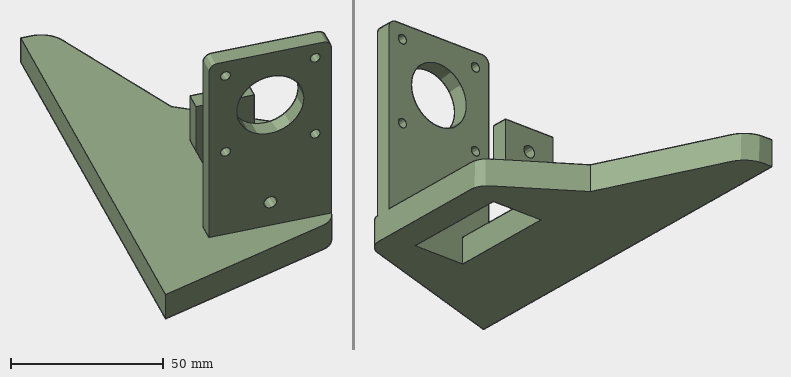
import cadquery as cq

base_length = 148.5
base_depth = 66.0
base_thickness = 10.0
nose_height = 10.0
shoulder_x = 51.4
shoulder_y = 34.8
back_left_x = 71.3
back_right_x = 127.5
nose_radius = 10.0
back_radius = 7.0

total_height = 80.4
motor_plate_x = 117.3
motor_plate_thickness = 6.1
motor_plate_width = 42.5
motor_plate_corner_radius = 3.0
motor_axis_y = base_depth - motor_plate_width / 2
motor_axis_z = 59.1
motor_bore_diameter = 23.2
screw_spacing = 31.0
screw_diameter = 3.4

tab_x = 70.8
tab_thickness = 6.2
tab_width = 20.2
tab_top = 28.0
rod_axis_z = 19.3
rod_diameter = 4.5
window_front_y = motor_axis_y - tab_width / 2


def make_footprint(height):
    """Rounded base outline extruded upward from Z = 0."""
    plate = (
        cq.Workplane("XY")
        .moveTo(0, 0)
        .lineTo(base_length, 0)
        .lineTo(back_right_x, base_depth)
        .lineTo(back_left_x, base_depth)
        .lineTo(shoulder_x, shoulder_y)
        .lineTo(0, nose_height)
        .close()
        .extrude(height)
    )
    plate = plate.edges("|Z").edges(">Y").fillet(back_radius)
    nose_corner = cq.selectors.NearestToPointSelector((0, nose_height, height / 2))
    return plate.edges(nose_corner).fillet(nose_radius)


def make_window():
    """Opening through the base from the tab's inner face to the motor plate."""
    start_x = tab_x + tab_thickness
    window_length = motor_plate_x - start_x
    return cq.Workplane("XY").box(
        window_length, tab_width, base_thickness, centered=False
    ).translate((start_x, window_front_y, 0))


def make_motor_plate():
    plate = cq.Workplane("XY").box(
        motor_plate_thickness, motor_plate_width, total_height, centered=False
    ).translate((motor_plate_x, base_depth - motor_plate_width, 0))
    plate = plate.intersect(make_footprint(total_height))
    return plate.edges("|X and >Z").fillet(motor_plate_corner_radius)


def make_tab():
    return cq.Workplane("XY").box(
        tab_thickness, tab_width, tab_top, centered=False
    ).translate((tab_x, window_front_y, 0))


def make_bores():
    """Motor bore, its four screw holes and the rod hole, all along X."""
    axis_plane = cq.Workplane("YZ")
    motor_bore = (
        axis_plane.center(motor_axis_y, motor_axis_z)
        .circle(motor_bore_diameter / 2)
        .extrude(base_length)
    )
    screw_holes = (
        axis_plane.center(motor_axis_y, motor_axis_z)
        .rect(screw_spacing, screw_spacing, forConstruction=True)
        .vertices()
        .circle(screw_diameter / 2)
        .extrude(base_length)
    )
    rod_hole = (
        axis_plane.center(motor_axis_y, rod_axis_z)
        .circle(rod_diameter / 2)
        .extrude(base_length)
    )
    return motor_bore.union(screw_holes).union(rod_hole)


result = (
    make_footprint(base_thickness)
    .cut(make_window())
    .union(make_motor_plate())
    .union(make_tab())
    .cut(make_bores())
)